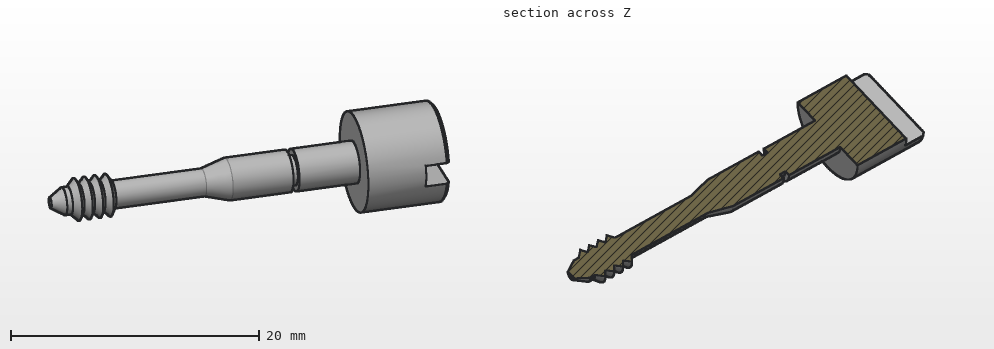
import cadquery as cq


HEAD_DIAMETER = 8.26
HEAD_LENGTH = 6.86
HEAD_CHAMFER = 0.25
SLOT_WIDTH = 1.86
SLOT_DEPTH = 2.0

SHANK_DIAMETER = 3.5
SHANK_LENGTH = 10.65
GROOVE_DIAMETER = 2.5
GROOVE_START = 5.08
GROOVE_WIDTH = 0.5
TAPER_LENGTH = 2.05

CORE_DIAMETER = 2.3
THREAD_DIAMETER = SHANK_DIAMETER
THREAD_START = 20.28
THREAD_PITCH = 0.88
RIDGE_COUNT = 4
HEAD_SIDE_FLANK = 0.4
TIP_SIDE_FLANK = 0.6

UNDERHEAD_LENGTH = 25.5
TIP_CONE_LENGTH = 1.1
TIP_DIAMETER = 0.9


def cylinder(diameter, start, length):
    """Cylinder running toward the tip from a distance below the head."""
    return cq.Workplane("XZ", origin=(0, -start, 0)).circle(diameter / 2).extrude(length)


def cone(start_diameter, end_diameter, start, length):
    """Truncated cone running toward the tip from a distance below the head."""
    profile = [
        (0, -start),
        (start_diameter / 2, -start),
        (end_diameter / 2, -start - length),
        (0, -start - length),
    ]
    return cq.Workplane("XY").polyline(profile).close().revolve(360, (0, 0), (0, 1))


def make_head():
    head = cylinder(HEAD_DIAMETER, -HEAD_LENGTH, HEAD_LENGTH)
    head = head.faces(">Y").chamfer(HEAD_CHAMFER)
    slot_center = HEAD_LENGTH - SLOT_DEPTH / 2
    slot = cq.Workplane("XY").box(HEAD_DIAMETER, SLOT_DEPTH, SLOT_WIDTH).translate((0, slot_center, 0))
    return head.cut(slot)


def make_shank():
    shank = cylinder(SHANK_DIAMETER, 0, SHANK_LENGTH)
    ring = cylinder(SHANK_DIAMETER, GROOVE_START, GROOVE_WIDTH)
    ring = ring.cut(cylinder(GROOVE_DIAMETER, GROOVE_START, GROOVE_WIDTH))
    taper = cone(SHANK_DIAMETER, CORE_DIAMETER, SHANK_LENGTH, TAPER_LENGTH)
    return shank.cut(ring).union(taper)


def make_core():
    core_start = SHANK_LENGTH + TAPER_LENGTH
    tip_start = UNDERHEAD_LENGTH - TIP_CONE_LENGTH
    core = cylinder(CORE_DIAMETER, core_start, tip_start - core_start)
    return core.union(cone(CORE_DIAMETER, TIP_DIAMETER, tip_start, TIP_CONE_LENGTH))


def make_ridge(start):
    """Closed ring with a sharp crest; neighbouring ridges overlap at their feet."""
    crest = start + HEAD_SIDE_FLANK
    rising = cone(CORE_DIAMETER, THREAD_DIAMETER, start, HEAD_SIDE_FLANK)
    return rising.union(cone(THREAD_DIAMETER, CORE_DIAMETER, crest, TIP_SIDE_FLANK))


result = make_head().union(make_shank()).union(make_core())
for index in range(RIDGE_COUNT):
    result = result.union(make_ridge(THREAD_START + index * THREAD_PITCH))